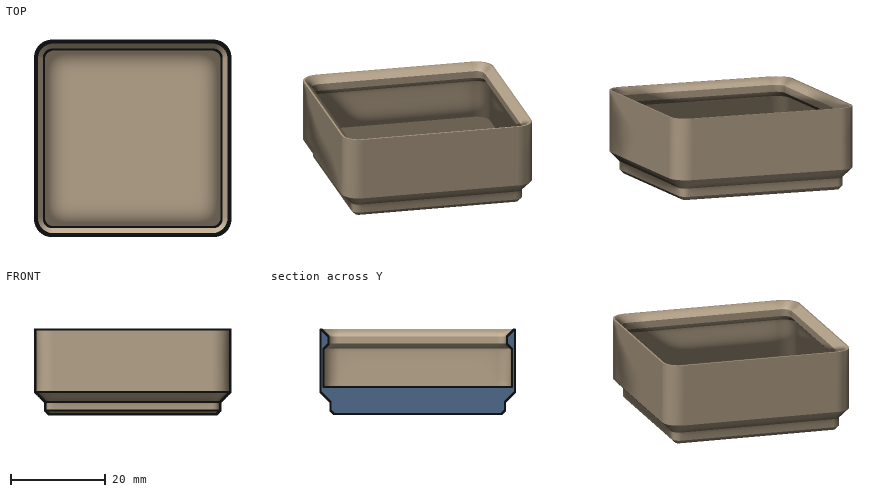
import cadquery as cq

side = 41.5
height = 18.0
corner_radius = 3.75

foot_lower_chamfer = 0.8
foot_band_height = 1.8
foot_upper_chamfer = 2.15
foot_height = foot_lower_chamfer + foot_band_height + foot_upper_chamfer

floor_rise = 1.05
wall = 0.8
floor_z = foot_height + floor_rise

rim_width = 0.4
lip_width = 1.9
lip_land_height = 1.5
lip_lead_in = lip_width - rim_width
lip_underside = lip_width - wall
land_top_z = height - lip_lead_in
land_bottom_z = land_top_z - lip_land_height
cut_overshoot = 1.0


def rounded_block(inset, bottom_z, top_z):
    """Rounded square prism whose walls lie the given inset inside the outer walls."""
    width = side - 2 * inset
    return (
        cq.Workplane("XY")
        .workplane(offset=bottom_z)
        .rect(width, width)
        .extrude(top_z - bottom_z)
        .edges("|Z")
        .fillet(corner_radius - inset)
    )


def make_body():
    """Solid outer shape: chamfered foot below the full-width block."""
    foot = rounded_block(foot_upper_chamfer, 0, foot_height)
    foot = foot.faces("<Z").chamfer(foot_lower_chamfer)
    upper = rounded_block(0, foot_height - foot_upper_chamfer, height)
    upper = upper.faces("<Z").chamfer(foot_upper_chamfer)
    return foot.union(upper)


def make_cavity():
    """Open space inside: chamber below the lip, opening through it and lead-in above."""
    chamber = rounded_block(wall, floor_z, land_bottom_z)
    chamber = chamber.faces(">Z").chamfer(lip_underside)
    opening = rounded_block(lip_width, floor_z, height)
    lead_in = rounded_block(rim_width, land_top_z, height + cut_overshoot)
    lead_in = lead_in.faces("<Z").chamfer(lip_lead_in)
    return chamber.union(opening).union(lead_in)


result = make_body().cut(make_cavity())